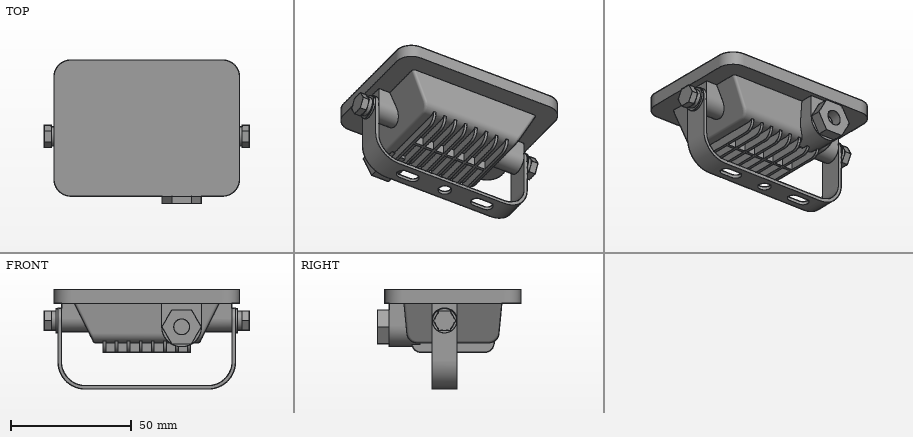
import cadquery as cq
import math


overall_length = 84.8
overall_width = 59.5
overall_height = 41.3

lid_length = 76.8
lid_width = 56.5
lid_height = 5.85
lid_corner_radius = 7.1

housing_bottom_z = -16.3
housing_top_half_length = 29.9
housing_top_half_width = 20.3
end_wall_angle = 26.5
side_wall_angle = 5.5
housing_bottom_radius = 4.2
housing_edge_radius = 1.2

fin_count = 8
fin_pitch = 5.0
fin_thickness = 1.2
fin_root_half_length = 17.9
fin_root_z = -12.7
fin_bottom_z = -20.3
fin_end_angle = 12.0
fin_corner_radius = 4.0

swivel_y = -3.5
swivel_z = -7.1
bracket_bottom_z = lid_height - overall_height
bracket_width = 10.5
bracket_inner_span = 70.5
bracket_thickness = 1.5
bracket_bend_radius = 11.4
arm_axis_z = -6.45

mount_hole_diameter = 5.5
mount_slot_offset = 18.0
mount_slot_width = 5.0
mount_slot_length = 10.0

washer_diameter = 10.1
washer_thickness = 0.85
bolt_head_flats = 8.05
bolt_head_thickness = 3.0

gland_x = 14.4
gland_z = -9.7
gland_radius = 8.2
gland_front_y = -26.4
gland_back_y = -13.6
nut_flats = 14.1
nut_front_y = lid_width / 2 - overall_width
cable_hole_diameter = 6.5

bracket_outer_half = bracket_inner_span / 2 + bracket_thickness


def hexagon(plane, across_flats):
    """Hexagon with two corners on the local horizontal axis."""
    return plane.polygon(6, across_flats / math.cos(math.radians(30)))


def tongue(plane, axis_z, radius, flat_end_z):
    """Upright slab outline on a vertical plane, square at flat_end_z and half-round at the other end."""
    tip_z = axis_z - math.copysign(radius, flat_end_z - axis_z)
    return (
        plane.moveTo(-radius, flat_end_z)
        .lineTo(-radius, axis_z)
        .threePointArc((0, tip_z), (radius, axis_z))
        .lineTo(radius, flat_end_z)
        .close()
    )


def taper_outline(plane, top_half, top_z, bottom_z, angle):
    """Symmetric outline on a vertical plane, narrowing downward by the angle on both sides."""
    bottom_half = top_half - (top_z - bottom_z) * math.tan(math.radians(angle))
    return plane.polyline([
        (-top_half, top_z),
        (top_half, top_z),
        (bottom_half, bottom_z),
        (-bottom_half, bottom_z),
    ]).close()


def make_lid():
    slab = cq.Workplane("XY").rect(lid_length, lid_width).extrude(lid_height)
    return slab.edges("|Z").fillet(lid_corner_radius)


def make_housing():
    trough = (
        taper_outline(cq.Workplane("YZ"), housing_top_half_width, 0, housing_bottom_z, side_wall_angle)
        .extrude(housing_top_half_length, both=True)
        .edges("|X and <Z")
        .fillet(housing_bottom_radius)
    )
    wedge = taper_outline(
        cq.Workplane("XZ"), housing_top_half_length, 0, housing_bottom_z, end_wall_angle
    ).extrude(housing_top_half_width, both=True)
    housing = trough.intersect(wedge)
    end_wall_edges = housing.faces("<X or >X").edges("not >Z")
    return end_wall_edges.fillet(housing_edge_radius)


def make_fins():
    """Row of thin fins, rooted inside the housing and joined along the middle by one web."""
    row_length = (fin_count - 1) * fin_pitch
    fins = (
        cq.Workplane("XY", origin=(0, 0, fin_bottom_z))
        .rect(row_length, fin_thickness)
        .extrude(fin_root_z - fin_bottom_z)
    )
    fin = (
        taper_outline(cq.Workplane("YZ"), fin_root_half_length, fin_root_z, fin_bottom_z, fin_end_angle)
        .extrude(fin_thickness / 2, both=True)
        .edges("|X and <Z")
        .fillet(fin_corner_radius)
    )
    for index in range(fin_count):
        fins = fins.union(fin.translate((index * fin_pitch - row_length / 2, 0, 0)))
    return fins


def make_arms():
    """One bar through the housing whose two ends carry the bracket."""
    plane = cq.Workplane("YZ", origin=(0, swivel_y, 0))
    return tongue(plane, arm_axis_z, bracket_width / 2, 0).extrude(bracket_inner_span / 2, both=True)


def bent_strip_block(half_span, bottom_z, bend_radius):
    """Block as wide as the bracket with both lower corners rounded."""
    height = swivel_z + bracket_width / 2 - bottom_z
    return (
        cq.Workplane("XY", origin=(0, swivel_y, bottom_z))
        .rect(2 * half_span, bracket_width)
        .extrude(height)
        .edges("|Y and <Z")
        .fillet(bend_radius)
    )


def make_bracket():
    """U-shaped strip: an outer block less an inner one, with the leg tops rounded about the swivel axis."""
    outer = bent_strip_block(bracket_outer_half, bracket_bottom_z, bracket_bend_radius)
    inner = bent_strip_block(
        bracket_inner_span / 2,
        bracket_bottom_z + bracket_thickness,
        bracket_bend_radius - bracket_thickness,
    )
    leg_plane = cq.Workplane("YZ", origin=(0, swivel_y, 0))
    leg_profile = tongue(leg_plane, swivel_z, bracket_width / 2, bracket_bottom_z)
    rounded_legs = leg_profile.extrude(bracket_outer_half, both=True)
    floor_plane = cq.Workplane("XY", origin=(0, swivel_y, bracket_bottom_z))
    hole = floor_plane.circle(mount_hole_diameter / 2).extrude(bracket_thickness)
    slots = (
        floor_plane.pushPoints([(-mount_slot_offset, 0), (mount_slot_offset, 0)])
        .slot2D(mount_slot_length, mount_slot_width)
        .extrude(bracket_thickness)
    )
    return outer.cut(inner).intersect(rounded_legs).cut(hole).cut(slots)


def make_bolt():
    """Washer, round shank and hexagon head on the +X leg."""
    head_inner_x = overall_length / 2 - bolt_head_thickness

    def section_plane(x):
        return cq.Workplane("YZ", origin=(x, swivel_y, swivel_z))

    washer = section_plane(bracket_outer_half).circle(washer_diameter / 2).extrude(washer_thickness)
    shank = (
        section_plane(bracket_outer_half)
        .circle(bolt_head_flats / 2)
        .extrude(head_inner_x - bracket_outer_half)
    )
    head = hexagon(section_plane(head_inner_x), bolt_head_flats).extrude(bolt_head_thickness)
    return washer.union(shank).union(head)


def make_gland():
    body_plane = cq.Workplane("XZ", origin=(gland_x, gland_back_y, 0))
    body = tongue(body_plane, gland_z, gland_radius, 0).extrude(gland_back_y - gland_front_y)
    nut_plane = cq.Workplane("XZ", origin=(gland_x, gland_front_y, gland_z))
    nut_thickness = gland_front_y - nut_front_y
    nut = hexagon(nut_plane, nut_flats).extrude(nut_thickness)
    cable_hole = nut_plane.circle(cable_hole_diameter / 2).extrude(nut_thickness)
    return body.union(nut).cut(cable_hole)


bolt = make_bolt()

result = (
    make_lid()
    .union(make_housing())
    .union(make_fins())
    .union(make_arms())
    .union(make_bracket())
    .union(bolt)
    .union(bolt.mirror("YZ"))
    .union(make_gland())
)